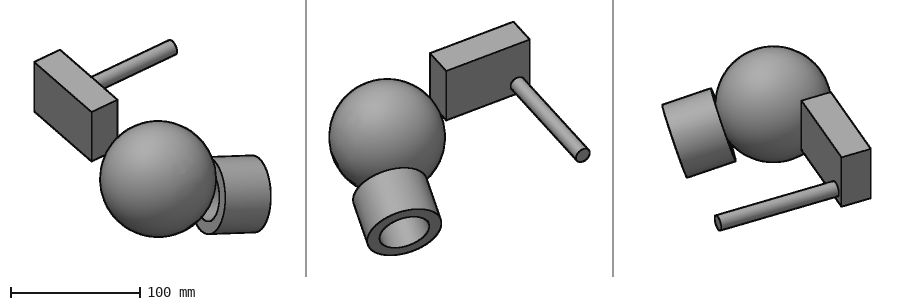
import cadquery as cq
import math

block_length = 75.0
block_depth = 25.0
block_height = 50.0
block_left = -128.0
block_back = 0.2
block_bottom = -5.7

rod_diameter = 12.5
rod_length = 100.0
rod_inset = 11.0
rod_rise = 10.0

ball_radius = 45.0

tube_outer_radius = 30.0
tube_bore_radius = 20.0
tube_length = 40.0
tube_yaw = math.radians(13.7)
tube_pitch = math.radians(15.7)
tube_start = (17.7, 34.5, -22.0)
tube_direction = (
    math.sin(tube_yaw) * math.cos(tube_pitch),
    math.cos(tube_yaw) * math.cos(tube_pitch),
    -math.sin(tube_pitch),
)


def make_block():
    return cq.Workplane("XY").box(
        block_length, block_depth, block_height, centered=False
    ).translate((block_left, block_back - block_depth, block_bottom))


def make_rod():
    foot = cq.Vector(block_left + rod_inset, block_back, block_bottom + rod_rise)
    return cq.Workplane(cq.Plane(foot, normal=(0, 1, 0))).circle(rod_diameter / 2).extrude(rod_length)


def make_ball():
    return cq.Workplane("XY").sphere(ball_radius)


def make_tube(ball):
    end_plane = cq.Plane(tube_start, normal=tube_direction)
    tube = (
        cq.Workplane(end_plane)
        .circle(tube_outer_radius)
        .circle(tube_bore_radius)
        .extrude(tube_length)
    )
    return tube.cut(ball)


block = make_block()
rod = make_rod()
ball = make_ball()
tube = make_tube(ball)

result = cq.Compound.makeCompound([block.val(), rod.val(), ball.val(), *tube.vals()])